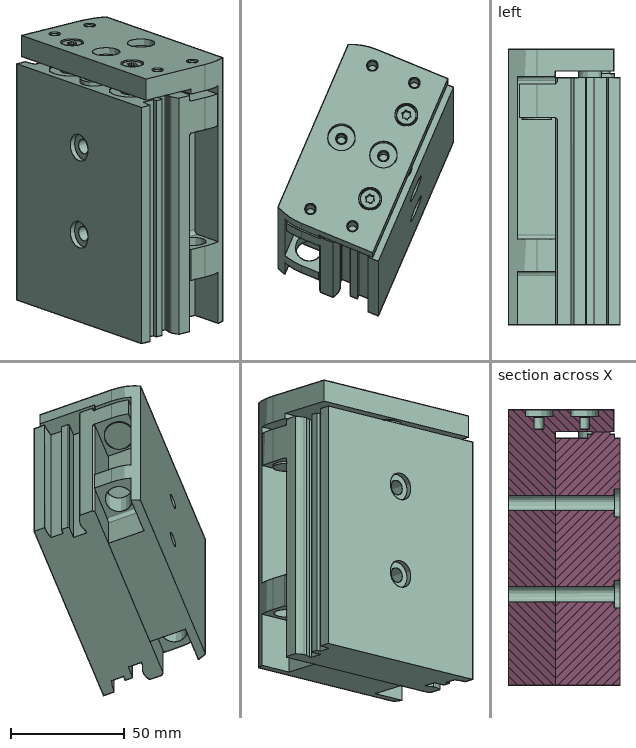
import cadquery as cq
import math

WIDTH = 85.0
DEPTH = 49.0
HEIGHT = 121.0
HALF_WIDTH = WIDTH / 2

HOUSING_HEIGHT = 108.5
HOUSING_DEPTH = 28.4
REAR_CHAMFER = 0.9

PLATE_EDGE_Y = 5.0
PLATE_ROOT_Y = 5.9
FRONT_SLOT_INSET = 5.5
RIB_INSET = 3.5
RIB_FRONT_Y = 11.5
RIB_REAR_Y = 15.1
RIB_CHAMFER = 0.4
REAR_SLOT_INSET = 9.0
LIP_INNER_INSET = 7.8
LIP_INNER_Y = 21.2
LIP_TIP_INSET = 3.8
LIP_TIP_WIDTH = 1.3
LIP_TIP_Y = 20.2
LIP_OUTER_Y = 21.6
CURVE_SAG = 0.25

EAR_BOTTOM = 91.0
EAR_TOP = 105.8
EAR_REAR_Y = 44.1
EAR_CURVE_RADIUS = 40.0
EAR_GAP = 0.5
ABSORBER_X = 33.7
ABSORBER_Y = 36.6
ABSORBER_DIA = 13.0
ABSORBER_PROJECTION = 0.9

BOLT_Y = 8.4
BOLT_FLANGE_DIA = 12.0
BOLT_FLANGE_TOP = 110.3
BOLT_HEAD_DIA = 8.0

MOUNT_HEIGHTS = (40.0, 80.0)
MOUNT_DIA = 6.5
MOUNT_BORE_DIA = 12.0
MOUNT_BORE_DEPTH = 2.5

CURVE_START_Y = 36.5
SLIDE_CURVE_RADIUS = 29.3
BACK_PLATE_FRONT_Y = 45.1
TOP_PLATE_FRONT_Y = 2.7
TOP_PLATE_BOTTOM = 111.3
TOP_PLATE_REAR_BOTTOM = 109.0
CORE_HALF_WIDTH = 25.4
CORE_FILLET = 1.8
BRIDGE_BOTTOM = 23.4
BRIDGE_TOP = 37.6
BRIDGE_HOLE_DIA = 12.0

THREAD_X = 35.0
THREAD_ROWS_Y = (15.5, 35.5)
THREAD_DIA = 4.13
THREAD_CHAMFER = 0.45
THREAD_DEPTH = 8.5
DOWEL_BORE_DIA = 12.0
DOWEL_BORE_DEPTH = 3.0

ROD_X = 20.5
ROD_Y = 13.2
ROD_DIA = 10.1
ROD_RECESS_DIA = 20.0
ROD_RECESS_DEPTH = 0.5
ROD_END = HOUSING_HEIGHT - ROD_RECESS_DEPTH
SCREW_BORE_DIA = 10.0
SCREW_HEAD_DIA = 8.57
SCREW_HEAD_DROP = 0.4
SCREW_GROOVE_DEPTH = 1.5
SOCKET_LOBES = 6
SOCKET_OUTER_RADIUS = 2.2
SOCKET_INNER_RADIUS = 1.6
SOCKET_DEPTH = 2.0


def cylinder(x, y, bottom, top, diameter):
    """Upright cylinder between two heights."""
    return cq.Workplane("XY", origin=(x, y, bottom)).circle(diameter / 2).extrude(top - bottom)


def box(x_min, x_max, y_min, y_max, z_min, z_max):
    """Block between two corners."""
    size = (x_max - x_min, y_max - y_min, z_max - z_min)
    return cq.Workplane("XY", origin=(x_min, y_min, z_min)).box(*size, centered=False)


def curved_side_block(front_y, rear_y, bottom, top, radius):
    """Full-width block whose sides curve inwards behind CURVE_START_Y."""

    def side_x(y):
        behind = y - CURVE_START_Y
        return HALF_WIDTH - radius + math.sqrt(radius**2 - behind**2)

    middle_y = (CURVE_START_Y + rear_y) / 2
    return (
        cq.Workplane("XY", origin=(0, 0, bottom))
        .moveTo(-HALF_WIDTH, front_y)
        .lineTo(HALF_WIDTH, front_y)
        .lineTo(HALF_WIDTH, CURVE_START_Y)
        .threePointArc((side_x(middle_y), middle_y), (side_x(rear_y), rear_y))
        .lineTo(-side_x(rear_y), rear_y)
        .threePointArc((-side_x(middle_y), middle_y), (-HALF_WIDTH, CURVE_START_Y))
        .close()
        .extrude(top - bottom)
    )


def mounting_holes():
    """Counterbored holes that run through both bodies from the front face."""
    cutter = cq.Workplane("XY")
    for height in MOUNT_HEIGHTS:
        start = cq.Workplane("XZ", origin=(0, 0, height))
        cutter = cutter.add(start.circle(MOUNT_DIA / 2).extrude(-DEPTH))
        cutter = cutter.add(start.circle(MOUNT_BORE_DIA / 2).extrude(-MOUNT_BORE_DEPTH))
    return cutter.combine()


def housing_half_profile():
    """Right half of the extruded housing section, with its two side slots."""

    def x(inset):
        return HALF_WIDTH - inset

    plate_middle = (x(FRONT_SLOT_INSET / 2), (PLATE_EDGE_Y + PLATE_ROOT_Y) / 2 - CURVE_SAG)
    lip_middle = (x(LIP_TIP_INSET / 2), (LIP_OUTER_Y + LIP_TIP_Y) / 2 - CURVE_SAG)
    return (
        cq.Workplane("XY")
        .moveTo(0, 0)
        .lineTo(x(0), 0)
        .lineTo(x(0), PLATE_EDGE_Y)
        .threePointArc(plate_middle, (x(FRONT_SLOT_INSET), PLATE_ROOT_Y))
        .lineTo(x(FRONT_SLOT_INSET), RIB_FRONT_Y)
        .lineTo(x(RIB_INSET), RIB_FRONT_Y)
        .lineTo(x(RIB_INSET), RIB_REAR_Y - RIB_CHAMFER)
        .lineTo(x(RIB_INSET + RIB_CHAMFER), RIB_REAR_Y)
        .lineTo(x(REAR_SLOT_INSET), RIB_REAR_Y)
        .lineTo(x(REAR_SLOT_INSET), LIP_INNER_Y)
        .lineTo(x(LIP_INNER_INSET), LIP_INNER_Y)
        .lineTo(x(LIP_TIP_INSET + LIP_TIP_WIDTH), LIP_TIP_Y)
        .lineTo(x(LIP_TIP_INSET), LIP_TIP_Y)
        .threePointArc(lip_middle, (x(0), LIP_OUTER_Y))
        .lineTo(x(0), HOUSING_DEPTH - REAR_CHAMFER)
        .lineTo(x(REAR_CHAMFER), HOUSING_DEPTH)
        .lineTo(0, HOUSING_DEPTH)
        .close()
    )


def housing_ears():
    """Both ears: curved outside, root flared to run out the housing's rear chamfers."""
    root_y = HOUSING_DEPTH - REAR_CHAMFER
    side_view = (
        cq.Workplane("YZ", origin=(-HALF_WIDTH, 0, 0))
        .moveTo(root_y, EAR_BOTTOM - REAR_CHAMFER)
        .lineTo(HOUSING_DEPTH, EAR_BOTTOM)
        .lineTo(EAR_REAR_Y, EAR_BOTTOM)
        .lineTo(EAR_REAR_Y, EAR_TOP)
        .lineTo(HOUSING_DEPTH, EAR_TOP)
        .lineTo(root_y, EAR_TOP + REAR_CHAMFER)
        .close()
        .extrude(WIDTH)
    )
    outline = curved_side_block(root_y, EAR_REAR_Y, 0, HOUSING_HEIGHT, EAR_CURVE_RADIUS)
    core_half = CORE_HALF_WIDTH + EAR_GAP
    core_space = box(-core_half, core_half, HOUSING_DEPTH, DEPTH, 0, HEIGHT)
    return outline.intersect(side_view).cut(core_space)


def make_housing():
    """Housing with ears, absorber ends, rod recesses, top bolt and mounting holes."""
    half = housing_half_profile().extrude(HOUSING_HEIGHT)
    body = half.union(half.mirror("YZ")).union(housing_ears())
    for side in (-1, 1):
        bottom = EAR_BOTTOM - ABSORBER_PROJECTION
        body = body.union(cylinder(side * ABSORBER_X, ABSORBER_Y, bottom, EAR_TOP, ABSORBER_DIA))
        body = body.cut(cylinder(side * ROD_X, ROD_Y, ROD_END, HOUSING_HEIGHT, ROD_RECESS_DIA))
    body = body.union(cylinder(0, BOLT_Y, HOUSING_HEIGHT, BOLT_FLANGE_TOP, BOLT_FLANGE_DIA))
    body = body.union(cylinder(0, BOLT_Y, BOLT_FLANGE_TOP, TOP_PLATE_BOTTOM, BOLT_HEAD_DIA))
    return body.cut(mounting_holes())


def side_pocket(side, bottom, top, fillet_heights):
    """Pocket beside the core, rounded where it meets the core at the given heights."""
    inner = side * CORE_HALF_WIDTH
    outer = side * WIDTH
    pocket = box(
        min(inner, outer), max(inner, outer), HOUSING_DEPTH, BACK_PLATE_FRONT_Y, bottom, top
    )
    for height in fillet_heights:
        middle_y = (HOUSING_DEPTH + BACK_PLATE_FRONT_Y) / 2
        edge = cq.selectors.NearestToPointSelector((inner, middle_y, height))
        pocket = pocket.edges(edge).fillet(CORE_FILLET)
    return pocket


def screw_recess(x):
    """Bore round a slightly sunken screw head, with the head's star socket."""
    head_top = HEIGHT - SCREW_HEAD_DROP
    bore = cylinder(x, ROD_Y, HEIGHT - SCREW_GROOVE_DEPTH, HEIGHT, SCREW_BORE_DIA)
    head = cylinder(x, ROD_Y, HEIGHT - SCREW_GROOVE_DEPTH, head_top, SCREW_HEAD_DIA)
    points = []
    for index in range(2 * SOCKET_LOBES):
        angle = math.pi / 2 + index * math.pi / SOCKET_LOBES
        radius = SOCKET_INNER_RADIUS if index % 2 else SOCKET_OUTER_RADIUS
        points.append((radius * math.cos(angle), radius * math.sin(angle)))
    socket = (
        cq.Workplane("XY", origin=(x, ROD_Y, head_top)).polyline(points).close().extrude(-SOCKET_DEPTH)
    )
    return bore.cut(head).union(socket)


def threaded_hole(x, y, top):
    """Blind core hole of a thread, chamfered at its mouth."""
    mouth_radius = THREAD_DIA / 2 + THREAD_CHAMFER
    chamfer = (
        cq.Workplane("XY", origin=(x, y, top))
        .circle(mouth_radius)
        .workplane(offset=-THREAD_CHAMFER)
        .circle(THREAD_DIA / 2)
        .loft()
    )
    return cylinder(x, y, HEIGHT - THREAD_DEPTH, top, THREAD_DIA).union(chamfer)


def make_slide():
    """Slide: back plate, core, bridge and top plate, with its piston rods."""
    body = curved_side_block(HOUSING_DEPTH, DEPTH, 0, HEIGHT, SLIDE_CURVE_RADIUS)
    body = body.union(
        box(-HALF_WIDTH, HALF_WIDTH, TOP_PLATE_FRONT_Y, HOUSING_DEPTH, TOP_PLATE_BOTTOM, HEIGHT)
    )
    for side in (-1, 1):
        body = body.cut(side_pocket(side, 0, BRIDGE_BOTTOM, [BRIDGE_BOTTOM]))
        upper_corners = [BRIDGE_TOP, TOP_PLATE_REAR_BOTTOM]
        body = body.cut(side_pocket(side, BRIDGE_TOP, TOP_PLATE_REAR_BOTTOM, upper_corners))
        body = body.cut(
            cylinder(side * ABSORBER_X, ABSORBER_Y, BRIDGE_BOTTOM, BRIDGE_TOP, BRIDGE_HOLE_DIA)
        )
        body = body.union(cylinder(side * ROD_X, ROD_Y, ROD_END, TOP_PLATE_BOTTOM, ROD_DIA))
        body = body.cut(screw_recess(side * ROD_X))
    for y in THREAD_ROWS_Y:
        for x in (-THREAD_X, THREAD_X):
            body = body.cut(threaded_hole(x, y, HEIGHT))
        body = body.cut(cylinder(0, y, HEIGHT - DOWEL_BORE_DEPTH, HEIGHT, DOWEL_BORE_DIA))
        body = body.cut(threaded_hole(0, y, HEIGHT - DOWEL_BORE_DEPTH))
    return body.cut(mounting_holes())


housing = make_housing()
slide = make_slide()

result = cq.Compound.makeCompound([housing.solids().val(), slide.solids().val()])